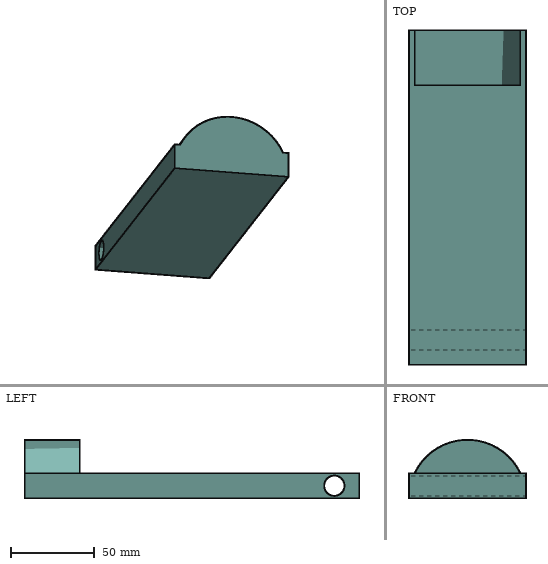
import cadquery as cq

plate_width = 70.0
plate_length = 200.0
plate_thickness = 15.0

block_radius = plate_width / 2
block_length = 33.0

hole_diameter = 12.0
hole_end_distance = 15.0


def make_plate():
    """Flat plate with its underside at Z = 0, centred on X and starting at Y = 0."""
    return cq.Workplane("XY").box(
        plate_width, plate_length, plate_thickness, centered=(True, False, False)
    )


def make_block():
    """Part of the cylinder that stands above the top of the plate."""
    half_chord = (block_radius**2 - plate_thickness**2) ** 0.5
    return (
        cq.Workplane("XZ", origin=(0, plate_length, 0))
        .moveTo(-half_chord, plate_thickness)
        .threePointArc((0, block_radius), (half_chord, plate_thickness))
        .close()
        .extrude(block_length)
    )


def make_cross_hole():
    """Cylinder along X at mid-thickness, spanning the plate width."""
    return (
        cq.Workplane("YZ", origin=(-plate_width / 2, 0, 0))
        .center(hole_end_distance, plate_thickness / 2)
        .circle(hole_diameter / 2)
        .extrude(plate_width)
    )


result = make_plate().union(make_block()).cut(make_cross_hole())